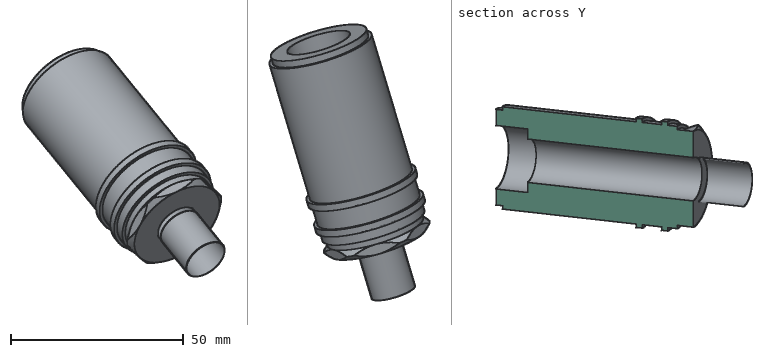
import cadquery as cq
import math


barrel_radius = 15.5
neck_radius = 14.5
front_lip_length = 2.0
barrel_end = 57.0

ring_radius = 16.5
ring_width = 2.0
ring_starts = [44.0, 52.0]

hex_start = 59.0
hex_end = 62.0
hex_across_flats = 2 * neck_radius
hex_rim_radius = 16.0

socket_radius = 9.5
socket_depth = 10.0
bore_radius = 6.45

sleeve_start = 63.7
sleeve_end = 77.8
sleeve_radius = 6.6
sleeve_edge_chamfer = 0.1


def cylinder(start, end, radius):
    """Solid cylinder on the X axis between two X positions."""
    return cq.Workplane("YZ", origin=(start, 0, 0)).circle(radius).extrude(end - start)


def make_hexagon():
    """Hexagon with flats facing +Z and -Z, its corners turned down to a double cone."""
    corner_diameter = hex_across_flats / math.cos(math.pi / 6)
    prism = (
        cq.Workplane("YZ", origin=(hex_start, 0, 0))
        .polygon(6, corner_diameter)
        .extrude(hex_end - hex_start)
    )
    double_cone = (
        cq.Workplane("XY")
        .moveTo(hex_start, 0)
        .lineTo(hex_start, neck_radius)
        .lineTo((hex_start + hex_end) / 2, hex_rim_radius)
        .lineTo(hex_end, neck_radius)
        .lineTo(hex_end, 0)
        .close()
        .revolve(360, (0, 0, 0), (1, 0, 0))
    )
    return prism.intersect(double_cone)


def make_housing():
    """Stepped barrel with two rings and a hexagonal end, bored through with a wider socket."""
    body = cylinder(0, hex_start, neck_radius)
    body = body.union(cylinder(front_lip_length, barrel_end, barrel_radius))
    for start in ring_starts:
        body = body.union(cylinder(start, start + ring_width, ring_radius))
    body = body.union(make_hexagon())
    body = body.cut(cylinder(0, hex_end, bore_radius))
    return body.cut(cylinder(0, socket_depth, socket_radius))


def make_sleeve():
    """Thin sleeve with the bore of the housing and a chamfered outer rear edge."""
    outside = cylinder(sleeve_start, sleeve_end, sleeve_radius)
    outside = outside.faces(">X").chamfer(sleeve_edge_chamfer)
    return outside.cut(cylinder(sleeve_start, sleeve_end, bore_radius))


housing = make_housing()
sleeve = make_sleeve()

result = cq.Compound.makeCompound([housing.val(), sleeve.val()])